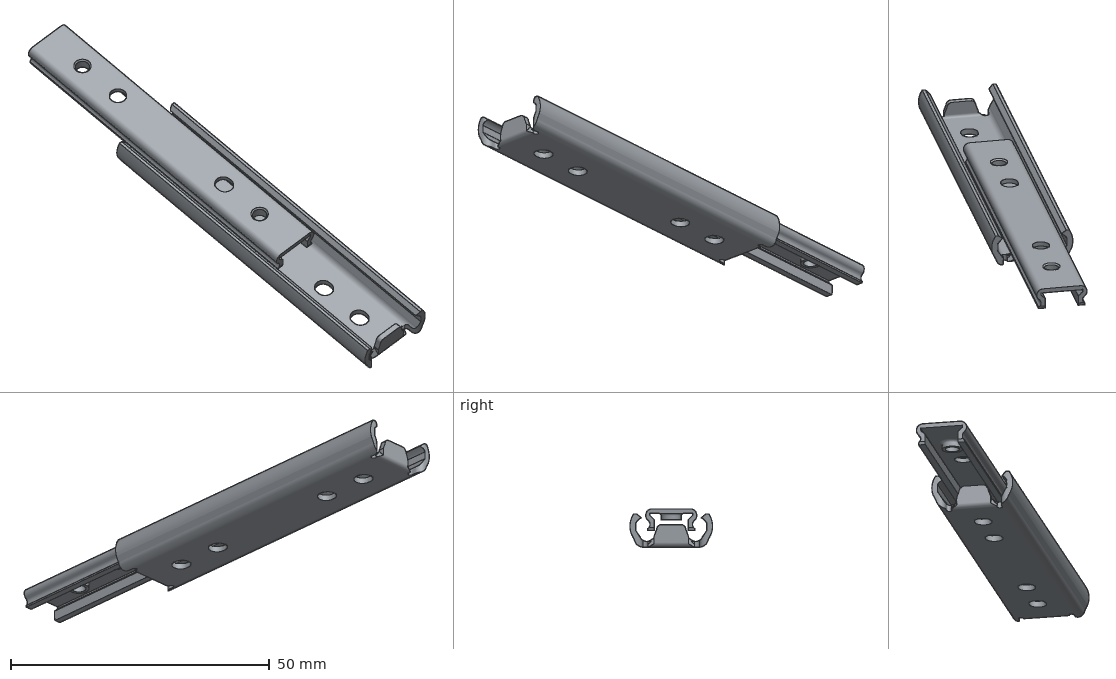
import cadquery as cq
import math


TOTAL_LENGTH = 98.1
RAIL_LENGTH = 69.9
OUTER_START = TOTAL_LENGTH - RAIL_LENGTH
HOLE_PITCH = 10.0
HOLE_DIAMETER = 3.3
SLOT_LENGTH = 3.8

INNER_TOP = 7.5
INNER_SHEET = 0.9
INNER_WIDTH = 9.9
INNER_HALF_WIDTH = INNER_WIDTH / 2
INNER_CORNER = 1.3
FOOT_BOTTOM = 3.2
FEET_WIDTH = 9.1
FOOT_HALF_WIDTH = FEET_WIDTH / 2
FOOT_LEAD_HEIGHT = 0.6
FOOT_LEAD_DEPTH = 0.2
LEG_OUTSIDE = 4.1
LEG_HOLLOW = 1.0
LEG_INSIDE = LEG_OUTSIDE - INNER_SHEET
LEG_INSIDE_TOP = 5.3
INNER_SLOPE_TOP = 6.2
INNER_CAVITY_HALF_WIDTH = 4.1

COLLAR_DIAMETER = 3.9
COLLAR_BOTTOM = 5.3
COLLAR_FILLET = 0.5
THREAD_DIAMETER = 2.7
THREAD_CHAMFER = 0.3

OUTER_WIDTH = 16.0
OUTER_HALF_WIDTH = OUTER_WIDTH / 2
OUTER_SHEET = 1.2
WALL_INSIDE = OUTER_HALF_WIDTH - OUTER_SHEET
WALL_INSIDE_BOTTOM = 3.2
WALL_INSIDE_TOP = 4.7

BEND_OUTSIDE_START = (5.3, 0)
BEND_OUTSIDE_END = (7.2, 1.5)
BOW_BOTTOM = (7.75, 2.6)
BOW_WIDEST = (OUTER_HALF_WIDTH, 4.1)
LIP_OUTSIDE = (7.3, 6.5)
LIP_INSIDE = (6.7, 6.5)
LIP_TIP = (5.8, 5.7)
LIP_UNDERSIDE = (6.4, 5.3)
BEND_INSIDE_START = (6.0, 2.0)
BEND_INSIDE_MIDDLE = (5.6, 1.5)
BEND_INSIDE_END = (4.9, OUTER_SHEET)

WINDOW_HALF_WIDTH = 5.5
WALL_ROUNDING = 1.3
WINDOW_DEPTH = 2.6
RELIEF_RADIUS = 0.5
RELIEF_CENTER = WINDOW_HALF_WIDTH - RELIEF_RADIUS

TAB_HALF_WIDTH = WINDOW_HALF_WIDTH - 2 * RELIEF_RADIUS
TAB_SETBACK = 1.2
TAB_HEIGHT = 4.4
TAB_ROOT = 4.1
TAB_BEND_INSIDE = 0.6
TAB_BEND_OUTSIDE = 0.9
TAB_NECK = 3.3
TAB_NECK_HEIGHT = 2.2
TAB_SHOULDER = 2.8
TAB_SHOULDER_HEIGHT = 3.4
TAB_CORNER_MIDDLE = (2.55, 4.1)
TAB_FLAT = 1.7
TAB_FLARE_START = -0.3
TAB_FLARE_END = 0.5


def along_x(half_section, start):
    """Extrude a half section over a rail's length and mirror it across the XZ plane."""
    half = half_section.extrude(RAIL_LENGTH).translate((start, 0, 0))
    return half.union(half.mirror("XZ"))


def drill(x_positions, diameter):
    """Vertical cylinders reaching through the whole slide."""
    points = [(x, 0) for x in x_positions]
    return cq.Workplane("XY").pushPoints(points).circle(diameter / 2).extrude(INNER_TOP)


def slots(x_positions):
    """Vertical slot cutters, slightly longer along X."""
    points = [(x, 0) for x in x_positions]
    sketch = cq.Workplane("XY").pushPoints(points).slot2D(SLOT_LENGTH, HOLE_DIAMETER)
    return sketch.extrude(INNER_TOP)


def inner_channel():
    """C-section with rolled shoulders and legs that end in outward feet."""
    roll_y = INNER_HALF_WIDTH - INNER_CORNER
    roll_z = INNER_TOP - INNER_CORNER

    leg_y = LEG_OUTSIDE + LEG_HOLLOW
    centers_apart = INNER_CORNER + LEG_HOLLOW
    leg_z = roll_z - math.sqrt(centers_apart**2 - (leg_y - roll_y) ** 2)
    foot_top = leg_z - math.sqrt(LEG_HOLLOW**2 - (leg_y - FOOT_HALF_WIDTH) ** 2)

    share = INNER_CORNER / centers_apart
    waist_y = roll_y + share * (leg_y - roll_y)
    waist_z = roll_z + share * (leg_z - roll_z)

    half = (
        cq.Workplane("YZ")
        .moveTo(0, INNER_TOP)
        .lineTo(roll_y, INNER_TOP)
        .threePointArc((INNER_HALF_WIDTH, roll_z), (waist_y, waist_z))
        .threePointArc((LEG_OUTSIDE, leg_z), (FOOT_HALF_WIDTH, foot_top))
        .lineTo(FOOT_HALF_WIDTH, FOOT_BOTTOM)
        .lineTo(LEG_INSIDE, FOOT_BOTTOM)
        .lineTo(LEG_INSIDE, LEG_INSIDE_TOP)
        .lineTo(INNER_CAVITY_HALF_WIDTH, INNER_SLOPE_TOP)
        .lineTo(INNER_CAVITY_HALF_WIDTH, INNER_TOP - INNER_SHEET)
        .lineTo(0, INNER_TOP - INNER_SHEET)
        .close()
    )
    return along_x(half, 0)


def foot_lead_in(end_x, inward):
    """Sloping cutter for the underside of the feet at one end of the inner rail."""
    return (
        cq.Workplane("XZ")
        .moveTo(end_x, FOOT_BOTTOM)
        .lineTo(end_x + inward * FOOT_LEAD_DEPTH, FOOT_BOTTOM)
        .lineTo(end_x, FOOT_BOTTOM + FOOT_LEAD_HEIGHT)
        .close()
        .extrude(INNER_HALF_WIDTH, both=True)
    )


def threaded_collar(x):
    """Collar hanging under the inner rail's web, before its hole is drilled."""
    radius = COLLAR_DIAMETER / 2
    web_bottom = INNER_TOP - INNER_SHEET
    web_middle = INNER_TOP - INNER_SHEET / 2
    profile = (
        cq.Workplane("XZ")
        .moveTo(0, COLLAR_BOTTOM)
        .lineTo(radius, COLLAR_BOTTOM)
        .lineTo(radius, web_bottom - COLLAR_FILLET)
        .tangentArcPoint((radius + COLLAR_FILLET, web_bottom), relative=False)
        .lineTo(radius + COLLAR_FILLET, web_middle)
        .lineTo(0, web_middle)
        .close()
    )
    return profile.revolve().translate((x, 0, 0))


def thread_entry(x):
    """Conical cutter for the mouth of a threaded hole."""
    return cq.Workplane(
        cq.Solid.makeCone(
            THREAD_DIAMETER / 2,
            THREAD_DIAMETER / 2 + THREAD_CHAMFER,
            THREAD_CHAMFER,
            pnt=cq.Vector(x, 0, INNER_TOP - THREAD_CHAMFER),
        )
    )


def build_inner_rail():
    rail = inner_channel()
    for end_x, inward in ((0, 1), (RAIL_LENGTH, -1)):
        rail = rail.cut(foot_lead_in(end_x, inward))
    thread_positions = [HOLE_PITCH, RAIL_LENGTH - HOLE_PITCH]
    for x in thread_positions:
        rail = rail.union(threaded_collar(x)).cut(thread_entry(x))
    rail = rail.cut(drill(thread_positions, THREAD_DIAMETER))
    rail = rail.cut(drill([2 * HOLE_PITCH], HOLE_DIAMETER))
    return rail.cut(slots([RAIL_LENGTH - 2 * HOLE_PITCH]))


def outer_channel():
    """Wide U-section whose bowed walls end in lips leaning inward."""
    half = (
        cq.Workplane("YZ")
        .moveTo(0, 0)
        .lineTo(*BEND_OUTSIDE_START)
        .tangentArcPoint(BEND_OUTSIDE_END, relative=False)
        .lineTo(*BOW_BOTTOM)
        .threePointArc(BOW_WIDEST, LIP_OUTSIDE)
        .lineTo(*LIP_INSIDE)
        .lineTo(*LIP_TIP)
        .threePointArc(LIP_UNDERSIDE, (WALL_INSIDE, WALL_INSIDE_TOP))
        .lineTo(WALL_INSIDE, WALL_INSIDE_BOTTOM)
        .lineTo(*BEND_INSIDE_START)
        .threePointArc(BEND_INSIDE_MIDDLE, BEND_INSIDE_END)
        .lineTo(0, OUTER_SHEET)
        .close()
    )
    return along_x(half, OUTER_START)


def end_window(end_x, inward):
    """Cutter that frees the tab: rounded wall ends and a round-bottomed relief on each side."""
    relief_start = end_x + inward * (WINDOW_DEPTH - RELIEF_RADIUS)
    relief_end = end_x + inward * WINDOW_DEPTH
    half = (
        cq.Workplane("XY")
        .moveTo(relief_start, 0)
        .lineTo(relief_start, TAB_HALF_WIDTH)
        .threePointArc((relief_end, RELIEF_CENTER), (relief_start, WINDOW_HALF_WIDTH))
        .lineTo(end_x + inward * WALL_ROUNDING, WINDOW_HALF_WIDTH)
        .tangentArcPoint((end_x, WINDOW_HALF_WIDTH + WALL_ROUNDING), relative=False)
        .lineTo(end_x, 0)
        .close()
        .extrude(INNER_TOP)
    )
    return half.union(half.mirror("XZ"))


def bent_strip(end_x, inward):
    """Constant-width strip lying in the base and bent up through 90 degrees near the rail's end."""

    def at(depth, height):
        return (end_x + inward * depth, height)

    back = TAB_SETBACK
    face = TAB_SETBACK + OUTER_SHEET
    return (
        cq.Workplane("XZ")
        .moveTo(*at(TAB_ROOT, 0))
        .lineTo(*at(back + TAB_BEND_OUTSIDE, 0))
        .tangentArcPoint(at(back, TAB_BEND_OUTSIDE), relative=False)
        .lineTo(*at(back, TAB_HEIGHT))
        .lineTo(*at(face, TAB_HEIGHT))
        .lineTo(*at(face, OUTER_SHEET + TAB_BEND_INSIDE))
        .tangentArcPoint(at(face + TAB_BEND_INSIDE, OUTER_SHEET), relative=False)
        .lineTo(*at(TAB_ROOT, OUTER_SHEET))
        .close()
        .extrude(TAB_HALF_WIDTH, both=True)
    )


def tab_outline():
    """Prism along X with the tapering, round-cornered outline of the upper tab."""
    half = (
        cq.Workplane("YZ")
        .moveTo(0, 0)
        .lineTo(TAB_HALF_WIDTH, 0)
        .lineTo(TAB_HALF_WIDTH, TAB_NECK_HEIGHT)
        .lineTo(TAB_NECK, TAB_NECK_HEIGHT)
        .lineTo(TAB_SHOULDER, TAB_SHOULDER_HEIGHT)
        .threePointArc(TAB_CORNER_MIDDLE, (TAB_FLAT, TAB_HEIGHT))
        .lineTo(0, TAB_HEIGHT)
        .close()
        .extrude(TOTAL_LENGTH)
    )
    return half.union(half.mirror("XZ"))


def flare_trims(end_x, inward):
    """Cutters that narrow the bend to the tab's neck, seen square to the middle of the bend."""
    bend_center = (
        end_x + inward * (TAB_SETBACK + OUTER_SHEET + TAB_BEND_INSIDE),
        0,
        OUTER_SHEET + TAB_BEND_INSIDE,
    )
    bisector = cq.Plane(origin=bend_center, xDir=(0, inward, 0), normal=(inward, 0, 1))
    trim = (
        cq.Workplane(bisector)
        .moveTo(TAB_HALF_WIDTH, TAB_FLARE_START)
        .lineTo(TAB_NECK, TAB_FLARE_END)
        .lineTo(TAB_NECK, TAB_HEIGHT)
        .lineTo(TAB_HALF_WIDTH, TAB_HEIGHT)
        .close()
        .extrude(TAB_HEIGHT, both=True)
    )
    return trim.union(trim.mirror("XZ"))


def stop_tab(end_x, inward):
    strip = bent_strip(end_x, inward)
    return strip.intersect(tab_outline()).cut(flare_trims(end_x, inward))


def build_outer_rail():
    rail = outer_channel()
    for end_x, inward in ((OUTER_START, 1), (TOTAL_LENGTH, -1)):
        rail = rail.cut(end_window(end_x, inward)).union(stop_tab(end_x, inward))
        rail = rail.cut(slots([end_x + inward * HOLE_PITCH, end_x + inward * 2 * HOLE_PITCH]))
    return rail


inner_rail = build_inner_rail()
outer_rail = build_outer_rail()

result = cq.Compound.makeCompound([inner_rail.val(), outer_rail.val()])